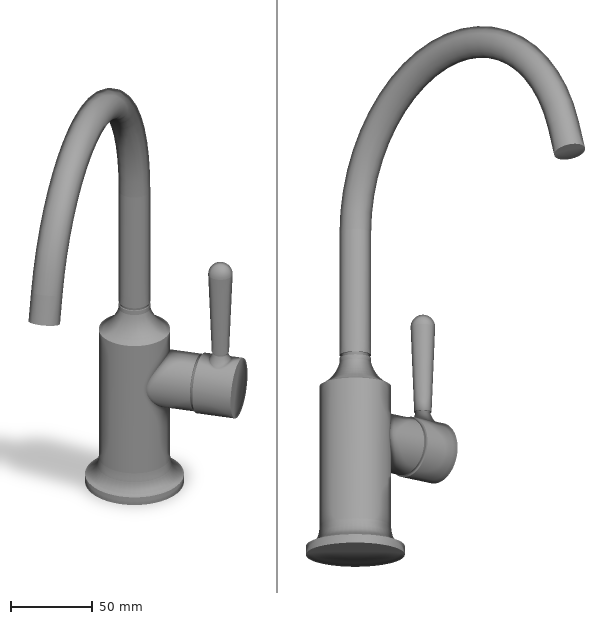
import cadquery as cq
import math

TOTAL_HEIGHT = 313.5
TOTAL_WIDTH = 97.0

FLANGE_RADIUS = 30.5
RIM_HEIGHT = 5.3
FLARE_TOP_RADIUS = 23.0
FLARE_TOP_HEIGHT = 12.0
FLARE_MID_RADIUS = 25.7
FLARE_MID_HEIGHT = 7.5
FLANGE_HEIGHT = 17.5
FLANGE_COVE_MID_RADIUS = 22.3
COLUMN_RADIUS = 22.0
SHOULDER_HEIGHT = 106.5
NECK_MID_RADIUS = 13.8
NECK_MID_HEIGHT = 113.0
NECK_TOP_HEIGHT = 121.5
BODY_HEIGHT = 124.5

TUBE_RADIUS = 9.7
GROOVE_DEPTH = 1.0
COLLAR_GROOVE_WIDTH = 2.0
COLLAR_TOP = 133.8
BEND_RADIUS = 100.0
BEND_CENTER_HEIGHT = TOTAL_HEIGHT - TUBE_RADIUS - BEND_RADIUS
TIP_ANGLE = 18.0
TIP_LENGTH = 18.8

ARM_HEIGHT = 75.2
ARM_RADIUS = 18.0
ARM_END = 40.5
HUB_START = 42.3
HUB_RADIUS = 18.8
HUB_END = TOTAL_WIDTH - FLANGE_RADIUS

LEVER_X = 55.0
LEVER_SEAT_RADIUS = 8.8
LEVER_SEAT_TOP_RADIUS = 4.7
LEVER_SEAT_HEIGHT = 98.0
LEVER_SEAT_MID_RADIUS = 5.5
LEVER_SEAT_MID_HEIGHT = 96.0
LEVER_STEM_HEIGHT = 99.5
LEVER_FOOT_RADIUS = 5.3
LEVER_TOP_RADIUS = 7.5
LEVER_TOP = 160.8
LEVER_DOME_BASE = LEVER_TOP - LEVER_TOP_RADIUS


def cylinder(radius, bottom, top):
    """Vertical cylinder on the Z axis."""
    return cq.Workplane("XY", origin=(0, 0, bottom)).circle(radius).extrude(top - bottom)


def cylinder_along_x(radius, start, end):
    """Horizontal cylinder on the arm axis."""
    return cq.Workplane("YZ", origin=(start, 0, ARM_HEIGHT)).circle(radius).extrude(end - start)


def turn(profile):
    """Revolve a closed XZ half profile about the vertical axis of its workplane."""
    return profile.close().revolve(360, (0, 0, 0), (0, 1, 0))


def make_flange():
    profile = (
        cq.Workplane("XZ")
        .lineTo(FLANGE_RADIUS, 0)
        .lineTo(FLANGE_RADIUS, RIM_HEIGHT)
        .threePointArc((FLARE_MID_RADIUS, FLARE_MID_HEIGHT), (FLARE_TOP_RADIUS, FLARE_TOP_HEIGHT))
        .threePointArc(
            (FLANGE_COVE_MID_RADIUS, (FLARE_TOP_HEIGHT + FLANGE_HEIGHT) / 2),
            (COLUMN_RADIUS, FLANGE_HEIGHT),
        )
        .lineTo(0, FLANGE_HEIGHT)
    )
    return turn(profile)


def make_body():
    """Column with a concave neck and a side arm whose end is necked down as a groove."""
    profile = (
        cq.Workplane("XZ")
        .moveTo(0, FLANGE_HEIGHT)
        .lineTo(COLUMN_RADIUS, FLANGE_HEIGHT)
        .lineTo(COLUMN_RADIUS, SHOULDER_HEIGHT)
        .threePointArc((NECK_MID_RADIUS, NECK_MID_HEIGHT), (TUBE_RADIUS, NECK_TOP_HEIGHT))
        .lineTo(TUBE_RADIUS, BODY_HEIGHT)
        .lineTo(0, BODY_HEIGHT)
    )
    arm = cylinder_along_x(ARM_RADIUS, 0, ARM_END)
    arm_end = cylinder_along_x(ARM_RADIUS - GROOVE_DEPTH, ARM_END, HUB_START)
    return turn(profile).union(arm).union(arm_end)


def make_collar():
    """Ring under the spout with a shallow groove at its foot."""
    groove_top = BODY_HEIGHT + COLLAR_GROOVE_WIDTH
    foot = cylinder(TUBE_RADIUS - GROOVE_DEPTH, BODY_HEIGHT, groove_top)
    return foot.union(cylinder(TUBE_RADIUS, groove_top, COLLAR_TOP))


def bend_point(angle):
    """(Y, Z) on the bend centreline; 0 degrees is its far side, 180 joins the straight tube."""
    turn_angle = math.radians(angle)
    y = -BEND_RADIUS * (1 + math.cos(turn_angle))
    return y, BEND_CENTER_HEIGHT + BEND_RADIUS * math.sin(turn_angle)


def make_spout():
    path = (
        cq.Workplane("YZ")
        .moveTo(0, COLLAR_TOP)
        .lineTo(0, BEND_CENTER_HEIGHT)
        .threePointArc(bend_point(90), bend_point(TIP_ANGLE))
    )
    return cq.Workplane("XY", origin=(0, 0, COLLAR_TOP)).circle(TUBE_RADIUS).sweep(path)


def make_tip():
    y, z = bend_point(TIP_ANGLE)
    tilt = math.radians(TIP_ANGLE)
    direction = (0, -math.sin(tilt), -math.cos(tilt))
    end_plane = cq.Plane(origin=(0, y, z), xDir=(1, 0, 0), normal=direction)
    return cq.Workplane(end_plane).circle(TUBE_RADIUS).extrude(TIP_LENGTH)


def make_hub():
    return cylinder_along_x(HUB_RADIUS, HUB_START, HUB_END)


def make_lever_seat(hub):
    """Flared foot fitted to the round top of the hub."""
    hub_top = ARM_HEIGHT + math.sqrt(HUB_RADIUS**2 - LEVER_SEAT_RADIUS**2)
    profile = (
        cq.Workplane("XZ", origin=(LEVER_X, 0, 0))
        .moveTo(0, hub_top)
        .lineTo(LEVER_SEAT_RADIUS, hub_top)
        .threePointArc(
            (LEVER_SEAT_MID_RADIUS, LEVER_SEAT_MID_HEIGHT),
            (LEVER_SEAT_TOP_RADIUS, LEVER_SEAT_HEIGHT),
        )
        .lineTo(0, LEVER_SEAT_HEIGHT)
    )
    return turn(profile).cut(hub)


def make_lever():
    """Tapered handle with a narrow stem and a domed top."""
    dome_mid = LEVER_TOP_RADIUS * math.sqrt(0.5)
    profile = (
        cq.Workplane("XZ", origin=(LEVER_X, 0, 0))
        .moveTo(0, LEVER_SEAT_HEIGHT)
        .lineTo(LEVER_SEAT_TOP_RADIUS, LEVER_SEAT_HEIGHT)
        .lineTo(LEVER_SEAT_TOP_RADIUS, LEVER_STEM_HEIGHT)
        .lineTo(LEVER_FOOT_RADIUS, LEVER_STEM_HEIGHT)
        .lineTo(LEVER_TOP_RADIUS, LEVER_DOME_BASE)
        .threePointArc((dome_mid, LEVER_DOME_BASE + dome_mid), (0, LEVER_TOP))
    )
    return turn(profile)


flange = make_flange()
body = make_body()
collar = make_collar()
spout = make_spout()
tip = make_tip()
hub = make_hub()
lever_seat = make_lever_seat(hub)
lever = make_lever()

result = cq.Compound.makeCompound([
    flange.val(),
    body.val(),
    collar.val(),
    spout.val(),
    tip.val(),
    hub.val(),
    lever_seat.val(),
    lever.val(),
])